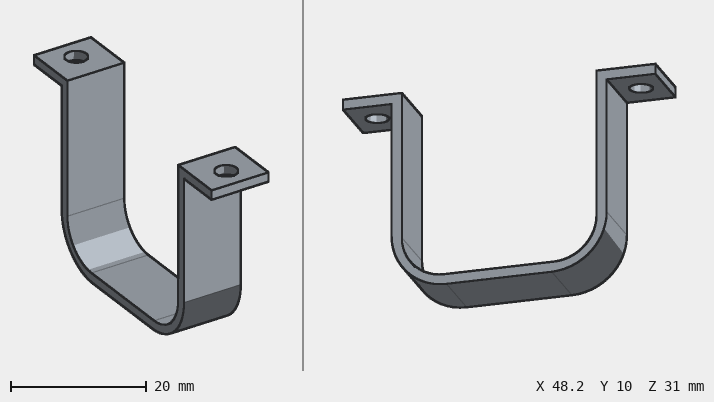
import cadquery as cq

overall_length = 48.2
strap_width = 10.0
overall_height = 31.0
thickness = 1.6
channel_width = 30.05
inner_bend_radius = 6.5
outer_bend_radius = 8.5
hole_diameter = 3.5

outer_width = channel_width + 2 * thickness
flange_reach = (overall_length - outer_width) / 2
hole_x = (overall_length - flange_reach) / 2
flange_z = overall_height - thickness / 2


def rounded_channel(width, bottom_z, bend_radius):
    """Block from bottom_z up to the top face, with both lower edges rounded."""
    height = overall_height - bottom_z
    return (
        cq.Workplane("XY", origin=(0, 0, bottom_z))
        .rect(width, strap_width)
        .extrude(height)
        .edges("|Y and <Z")
        .fillet(bend_radius)
    )


flange_bar = cq.Workplane("XY", origin=(0, 0, flange_z)).box(overall_length, strap_width, thickness)
outer_block = rounded_channel(outer_width, 0, outer_bend_radius)
inner_block = rounded_channel(channel_width, thickness, inner_bend_radius)
bracket = outer_block.union(flange_bar).cut(inner_block)

mounting_holes = (
    cq.Workplane("XY", origin=(0, 0, overall_height - thickness))
    .pushPoints([(-hole_x, 0), (hole_x, 0)])
    .circle(hole_diameter / 2)
    .extrude(thickness)
)

result = bracket.cut(mounting_holes)